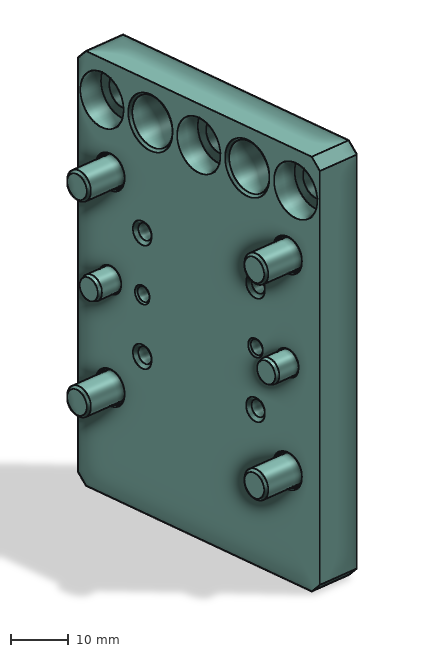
import cadquery as cq

plate_width = 60.0
plate_height = 84.5
plate_thickness = 8.95
corner_chamfer = 2.0

row_drop = 8.0
row_pitch = 12.0
bore_diameter = 6.6
counterbore_diameter = 10.7
counterbore_depth = 5.0
large_hole_diameter = 10.0
large_hole_chamfer = 0.5

pattern_drop = 42.25

pin_x = 22.0
long_pin_rise = 20.95
long_pin_diameter = 5.9
long_pin_length = 8.0
long_pin_tip_chamfer = 0.5
long_pin_clearance_diameter = 6.7
long_pin_clearance_chamfer = 0.25
long_pin_recess_depth = 1.0
short_pin_diameter = 5.0
short_pin_length = 5.15
short_pin_tip_inset = 0.25
short_pin_tip_length = 0.8
short_pin_recess_width = 0.25

small_hole_x = 14.0
outer_hole_rise = 12.0
outer_hole_diameter = 3.3
outer_hole_chamfer = 0.7
centre_hole_diameter = 2.95
centre_hole_chamfer = 0.3

top_z = plate_height / 2
row_z = top_z - row_drop
pattern_z = top_z - pattern_drop


def rod(x, z, diameter, start_y, end_y):
    """Cylinder along Y between two depths."""
    length = end_y - start_y
    start = cq.Vector(x, start_y, z)
    direction = cq.Vector(0, 1, 0)
    return cq.Workplane(cq.Solid.makeCylinder(diameter / 2, length, start, direction))


def cone(x, z, start_diameter, end_diameter, start_y, end_y):
    """Truncated cone along Y between two depths."""
    start = cq.Vector(x, start_y, z)
    direction = cq.Vector(0, 1, 0)
    return cq.Workplane(
        cq.Solid.makeCone(start_diameter / 2, end_diameter / 2, end_y - start_y, start, direction)
    )


def countersink(x, z, diameter, chamfer):
    """45 degree cone that widens a hole of the given diameter at the front face."""
    return cone(x, z, diameter + 2 * chamfer, diameter, 0, chamfer)


def chamfered_hole(x, z, diameter, chamfer):
    """Cutter for a through hole with a chamfered front rim."""
    return rod(x, z, diameter, 0, plate_thickness).union(countersink(x, z, diameter, chamfer))


def counterbored_hole(x, z):
    """Cutter for a through hole counterbored from the front."""
    bore = rod(x, z, bore_diameter, 0, plate_thickness)
    return bore.union(rod(x, z, counterbore_diameter, 0, counterbore_depth))


def long_pin_recess(x, z):
    """Cutter for the blind clearance hole, chamfered at its rim, that surrounds a long pin."""
    clearance = rod(x, z, long_pin_clearance_diameter, 0, long_pin_recess_depth)
    return clearance.union(countersink(x, z, long_pin_clearance_diameter, long_pin_clearance_chamfer))


def long_pin(x, z):
    """Pin with a chamfered tip, rooted at the bottom of its clearance hole."""
    pin = rod(x, z, long_pin_diameter, -long_pin_length, long_pin_recess_depth)
    return pin.faces("<Y").chamfer(long_pin_tip_chamfer)


def short_pin(x, z):
    """Pin with a slightly tapered tip, rooted at the bottom of its conical recess."""
    tip_diameter = short_pin_diameter - 2 * short_pin_tip_inset
    taper_end = short_pin_tip_length - short_pin_length
    shank = rod(x, z, short_pin_diameter, taper_end, short_pin_recess_width)
    return shank.union(cone(x, z, tip_diameter, short_pin_diameter, -short_pin_length, taper_end))


result = (
    cq.Workplane("XY")
    .box(plate_width, plate_thickness, plate_height)
    .translate((0, plate_thickness / 2, 0))
    .edges("|Y")
    .chamfer(corner_chamfer)
)

for position in (-2, 0, 2):
    result = result.cut(counterbored_hole(position * row_pitch, row_z))
for position in (-1, 1):
    result = result.cut(
        chamfered_hole(position * row_pitch, row_z, large_hole_diameter, large_hole_chamfer)
    )

for side in (-1, 1):
    hole_x = side * small_hole_x
    peg_x = side * pin_x

    result = result.cut(chamfered_hole(hole_x, pattern_z, centre_hole_diameter, centre_hole_chamfer))
    result = result.cut(countersink(peg_x, pattern_z, short_pin_diameter, short_pin_recess_width))
    result = result.union(short_pin(peg_x, pattern_z))

    for level in (-1, 1):
        hole_z = pattern_z + level * outer_hole_rise
        peg_z = pattern_z + level * long_pin_rise
        result = result.cut(chamfered_hole(hole_x, hole_z, outer_hole_diameter, outer_hole_chamfer))
        result = result.cut(long_pin_recess(peg_x, peg_z))
        result = result.union(long_pin(peg_x, peg_z))